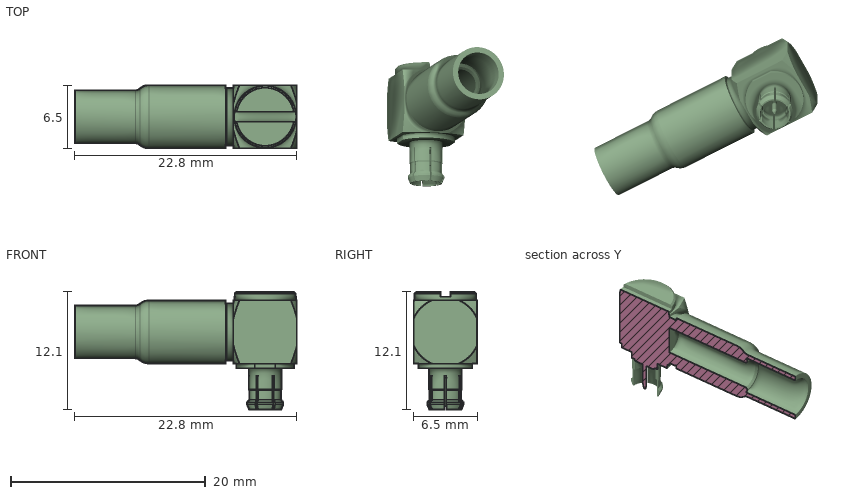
import cadquery as cq
import math


BODY_SIDE = 6.5
HALF_SIDE = BODY_SIDE / 2
CORNER_FACE_RADIUS = 3.53
CORNER_CUT_ANGLE = 30

CAP_RADIUS = 3.175
CAP_HEIGHT = 0.87
CAP_CHAMFER = 0.2
CAP_SLOT_WIDTH = 1.0
CAP_SLOT_DEPTH = 0.5

FLANGE_RADIUS = 2.97
FLANGE_THICKNESS = 0.5
FLANGE_ACROSS_FLATS = 5.56

COLLET_LENGTH = 4.23
COLLET_ROOT_RADIUS = 1.7
COLLET_WAIST_RADIUS = 1.64
COLLET_RIM_RADIUS = 1.87
RIM_LAND_BOTTOM = 0.54
RIM_LAND_TOP = 0.75
WAIST_BOTTOM = 1.02
WAIST_TOP = 2.0
ROOT_BOTTOM = 2.1
COLLET_MOUTH_RADIUS = 1.5
INSULATOR_RADIUS = 1.3
INSULATOR_FACE = 3.3
COLLET_SLOT_COUNT = 6
COLLET_SLOT_WIDTH = 0.2
COLLET_SLOT_TOP = 3.5

PIN_RADIUS = 0.25
PIN_TIP_RADIUS = 0.12
PIN_TIP = 0.34
PIN_SHOULDER = 0.82

OVERALL_LENGTH = 22.77
SLEEVE_LENGTH = 15.47
SLEEVE_SMALL_RADIUS = 2.725
SLEEVE_LARGE_RADIUS = 3.25
SLEEVE_BORE_RADIUS = 2.16
SHOULDER_START = 6.2
SHOULDER_END = 7.56
SHOULDER_INNER_BEND = 0.7

NECK_RADIUS = 2.97
NECK_CHAMFER = 0.1
TUBE_BORE_RADIUS = 1.54
TUBE_CHAMFER = 0.21

SLEEVE_OPEN_X = HALF_SIDE - OVERALL_LENGTH
SLEEVE_BACK_X = SLEEVE_OPEN_X + SLEEVE_LENGTH
TUBE_FACE_X = SLEEVE_OPEN_X + SHOULDER_START
COLLET_END_Z = -HALF_SIDE - FLANGE_THICKNESS - COLLET_LENGTH


def cylinder_z(radius, bottom, height):
    return cq.Workplane("XY", origin=(0, 0, bottom)).circle(radius).extrude(height)


def cylinder_x(radius, start, end):
    return cq.Workplane("YZ", origin=(start, 0, 0)).circle(radius).extrude(end - start)


def revolve_about_x(profile):
    """Revolve an (x, radius) outline about the cable axis."""
    return profile.close().revolve(360, (0, 0, 0), (1, 0, 0))


def collet_turning(points):
    """Revolve (radius, height) points about the mating axis, from the collet's free end."""
    outline = cq.Workplane("XZ", origin=(0, 0, COLLET_END_Z)).polyline(points)
    return outline.close().revolve(360, (0, 0, 0), (0, 1, 0))


def make_body():
    """Cube whose eight corners are turned off by a cone at each X end."""
    corner_radius = HALF_SIDE * math.sqrt(2)
    cut_depth = (corner_radius - CORNER_FACE_RADIUS) * math.tan(math.radians(CORNER_CUT_ANGLE))
    turned_blank = revolve_about_x(
        cq.Workplane("XY").polyline([
            (-HALF_SIDE, 0),
            (-HALF_SIDE, CORNER_FACE_RADIUS),
            (-HALF_SIDE + cut_depth, corner_radius),
            (HALF_SIDE - cut_depth, corner_radius),
            (HALF_SIDE, CORNER_FACE_RADIUS),
            (HALF_SIDE, 0),
        ])
    )
    return cq.Workplane("XY").box(BODY_SIDE, BODY_SIDE, BODY_SIDE).intersect(turned_blank)


def make_cap():
    cap = cylinder_z(CAP_RADIUS, HALF_SIDE, CAP_HEIGHT).faces(">Z").chamfer(CAP_CHAMFER)
    slot = (
        cq.Workplane("XY", origin=(0, 0, HALF_SIDE + CAP_HEIGHT))
        .rect(2 * CAP_RADIUS, CAP_SLOT_WIDTH)
        .extrude(-CAP_SLOT_DEPTH)
    )
    return cap.cut(slot)


def make_flange():
    bottom = -HALF_SIDE - FLANGE_THICKNESS
    flats = (
        cq.Workplane("XY", origin=(0, 0, bottom))
        .rect(2 * FLANGE_RADIUS, FLANGE_ACROSS_FLATS)
        .extrude(FLANGE_THICKNESS)
    )
    return cylinder_z(FLANGE_RADIUS, bottom, FLANGE_THICKNESS).intersect(flats)


def make_collet_slots():
    """Radial slots through the collet wall, stopping at the insulator."""
    slot_reach = COLLET_RIM_RADIUS + COLLET_SLOT_WIDTH
    slots = cq.Workplane("XY")
    for index in range(COLLET_SLOT_COUNT):
        slot = (
            cq.Workplane("XY", origin=(0, 0, COLLET_END_Z))
            .center(slot_reach / 2, 0)
            .rect(slot_reach, COLLET_SLOT_WIDTH)
            .extrude(COLLET_SLOT_TOP)
            .rotate((0, 0, 0), (0, 0, 1), index * 360 / COLLET_SLOT_COUNT)
        )
        slots = slots.add(slot)
    return slots.combine().cut(cylinder_z(INSULATOR_RADIUS, COLLET_END_Z, COLLET_SLOT_TOP))


def make_collet():
    spring = collet_turning([
        (COLLET_MOUTH_RADIUS, 0),
        (COLLET_WAIST_RADIUS, 0),
        (COLLET_RIM_RADIUS, RIM_LAND_BOTTOM),
        (COLLET_RIM_RADIUS, RIM_LAND_TOP),
        (COLLET_WAIST_RADIUS, WAIST_BOTTOM),
        (COLLET_WAIST_RADIUS, WAIST_TOP),
        (COLLET_ROOT_RADIUS, ROOT_BOTTOM),
        (COLLET_ROOT_RADIUS, COLLET_LENGTH),
        (0, COLLET_LENGTH),
        (0, INSULATOR_FACE),
        (INSULATOR_RADIUS, INSULATOR_FACE),
        (INSULATOR_RADIUS, ROOT_BOTTOM),
        (COLLET_MOUTH_RADIUS, ROOT_BOTTOM),
    ])
    pin = collet_turning([
        (0, PIN_TIP),
        (PIN_TIP_RADIUS, PIN_TIP),
        (PIN_RADIUS, PIN_SHOULDER),
        (PIN_RADIUS, COLLET_LENGTH),
        (0, COLLET_LENGTH),
    ])
    return spring.cut(make_collet_slots()).union(pin)


def make_sleeve():
    """Sleeve with a bore, necked down through two tangent bends."""
    shoulder_length = SHOULDER_END - SHOULDER_START
    shoulder_rise = SLEEVE_LARGE_RADIUS - SLEEVE_SMALL_RADIUS
    bend_sum = (shoulder_length**2 + shoulder_rise**2) / (2 * shoulder_rise)
    inner_share = SHOULDER_INNER_BEND / bend_sum
    bend_meeting = (
        SLEEVE_OPEN_X + SHOULDER_START + inner_share * shoulder_length,
        SLEEVE_SMALL_RADIUS + inner_share * shoulder_rise,
    )
    return revolve_about_x(
        cq.Workplane("XY")
        .moveTo(SLEEVE_OPEN_X, SLEEVE_BORE_RADIUS)
        .lineTo(SLEEVE_OPEN_X, SLEEVE_SMALL_RADIUS)
        .lineTo(SLEEVE_OPEN_X + SHOULDER_START, SLEEVE_SMALL_RADIUS)
        .tangentArcPoint(bend_meeting, relative=False)
        .tangentArcPoint((SLEEVE_OPEN_X + SHOULDER_END, SLEEVE_LARGE_RADIUS), relative=False)
        .lineTo(SLEEVE_BACK_X, SLEEVE_LARGE_RADIUS)
        .lineTo(SLEEVE_BACK_X, SLEEVE_BORE_RADIUS)
    )


def make_neck():
    neck = cylinder_x(NECK_RADIUS, SLEEVE_BACK_X, -HALF_SIDE)
    return neck.faces("<X").chamfer(NECK_CHAMFER)


def make_cable_tube():
    """Tube filling the sleeve bore, chamfered inside and out at its open end."""
    tube = cylinder_x(SLEEVE_BORE_RADIUS, TUBE_FACE_X, -HALF_SIDE)
    bore = cylinder_x(TUBE_BORE_RADIUS, TUBE_FACE_X, -HALF_SIDE)
    return tube.cut(bore).faces("<X").chamfer(TUBE_CHAMFER)


def make_part():
    cable_side = make_neck().cut(cylinder_x(TUBE_BORE_RADIUS, SLEEVE_BACK_X, -HALF_SIDE))
    cable_side = cable_side.union(make_sleeve()).union(make_cable_tube())
    mating_side = make_flange().union(make_collet())
    return make_body().union(make_cap()).union(mating_side).union(cable_side)


result = make_part()